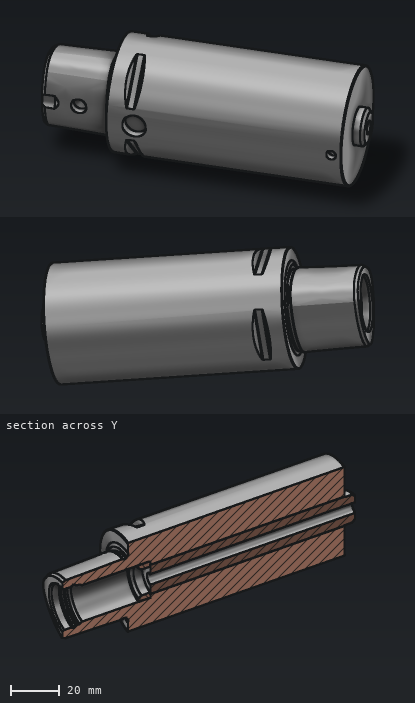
import cadquery as cq
import math


total_length = 134.5
shank_length = 30.0
body_radius = 25.0
body_end_x = 129.8
shank_side_chamfer = 0.3
pin_side_chamfer = 0.4

lobe_center_radius = 8.5
lobe_radius = 10.1
taper_end_x = 27.7
taper_slope = 1 / 40
mouth_chamfer_length = 1.5
mouth_chamfer_height = 0.8
neck_step = 0.34
neck_step_length = 0.4

neck_radius = 17.8
neck_slope_end_x = 29.2
lobe_clearance_radius = 20.2
collar_start_x = 29.5
undercut_bottom_radius = 18.8
undercut_depth = 0.3
undercut_outer_radius = 19.5

mouth_bore_radius = 11.8
entry_bore_radius = 11.3
entry_chamfer = 1.0
groove_start_x = 4.3
groove_radius = 12.1
groove_slope = 0.8
groove_end_x = 6.3
bore_lip_radius = 11.0
lip_start_x = 6.9
lip_end_x = 8.0
bore_cone_end_x = 9.1
bore_radius = 10.1
bore_depth = 40.4

bushing_length = 5.4
bushing_hole_radius = 7.1
bushing_countersink = 1.3

pin_diameter = 16.0
pin_radius = pin_diameter / 2
pin_hole_radius = 2.8
pin_chamfer = 1.5

drill_tip_angle = 118.0
shank_hole_x = 16.0
shank_hole_radius = 3.2
shank_hole_depth = 3.9
shank_surface_y = -16.1
notch_radius = 4.0
notch_length = 5.5
notch_tip_length = 4.6
notch_center_y = -18.2
chip_hole_x = 42.0
chip_hole_radius = 5.0
chip_hole_depth = 4.5
end_hole_x = 125.5
end_hole_radius = 2.0
end_hole_depth = 3.4

slot_center_x = 40.1
slot_floor_distance = 22.2
slot_floor_width = 2.8
slot_bevel_width = 0.4
slot_bevel_height = 0.2
slot_flank_angle = 30.0


def revolve_profile(points):
    """Solid of revolution about X from (x, radius) points."""
    return cq.Workplane("XY").polyline(points).close().revolve(360, (0, 0, 0), (1, 0, 0))


def drill(radius, depth, tip):
    """Drill shape along +Z from the origin, with a conical tip beyond its depth."""
    profile = [(0, 0), (radius, 0), (radius, depth), (0, depth + tip)]
    return cq.Workplane("XZ").polyline(profile).close().revolve(360, (0, 0, 0), (0, 1, 0))


def lobed_outline(x, inset=0.0):
    """Closed three-lobed outline at the given X, one lobe toward +Y."""
    small = lobe_radius - inset
    large = small + lobe_center_radius * math.sqrt(3)

    def arc_point(center_angle, radius, direction):
        center = math.radians(center_angle)
        normal = math.radians(direction)
        return (
            lobe_center_radius * math.cos(center) + radius * math.cos(normal),
            lobe_center_radius * math.sin(center) + radius * math.sin(normal),
        )

    outline = cq.Workplane("YZ", origin=(x, 0, 0)).moveTo(*arc_point(0, small, -30))
    for lobe in (0, 120, 240):
        outline = outline.threePointArc(arc_point(lobe, small, lobe), arc_point(lobe, small, lobe + 30))
        flank = lobe + 60
        opposite_lobe = lobe + 240
        outline = outline.threePointArc(
            arc_point(opposite_lobe, large, flank), arc_point(opposite_lobe, large, flank + 30)
        )
    return outline.close()


def lobed_section(x_start, inset_start, x_end, inset_end):
    """Stretch of the shank between two X positions, with a straight taper between two insets."""
    length = x_end - x_start
    angle = math.degrees(math.atan((inset_end - inset_start) / length))
    return lobed_outline(x_start, inset_start).extrude(length, taper=angle)


def make_shank():
    """Tapered three-lobed shank with a chamfered mouth and a neck beside the body."""
    chamfer_inset = (taper_end_x - mouth_chamfer_length) * taper_slope
    step_end_x = taper_end_x + neck_step_length
    shank = (
        lobed_section(0, chamfer_inset + mouth_chamfer_height, mouth_chamfer_length, chamfer_inset)
        .union(lobed_section(mouth_chamfer_length, chamfer_inset, taper_end_x, 0))
        .union(lobed_section(taper_end_x, 0, step_end_x, neck_step))
        .union(lobed_outline(step_end_x, neck_step).extrude(shank_length - step_end_x))
    )
    lobe_relief = revolve_profile(
        [
            (taper_end_x, lobe_clearance_radius),
            (taper_end_x, lobe_center_radius + lobe_radius),
            (neck_slope_end_x, neck_radius),
            (shank_length, neck_radius),
            (shank_length, lobe_clearance_radius),
        ]
    )
    return shank.cut(lobe_relief)


def make_body():
    """Body cylinder with chamfered ends, and a collar and round undercut on its shank-side face."""
    return (
        cq.Workplane("XY")
        .moveTo(collar_start_x, 0)
        .lineTo(collar_start_x, neck_radius)
        .threePointArc(
            (shank_length + undercut_depth, undercut_bottom_radius), (shank_length, undercut_outer_radius)
        )
        .lineTo(shank_length, body_radius - shank_side_chamfer)
        .lineTo(shank_length + shank_side_chamfer, body_radius)
        .lineTo(body_end_x - pin_side_chamfer, body_radius)
        .lineTo(body_end_x, body_radius - pin_side_chamfer)
        .lineTo(body_end_x, 0)
        .close()
        .revolve(360, (0, 0, 0), (1, 0, 0))
    )


def make_bore():
    """Stepped bore for the shank mouth, the bushing and the pin, as a cutter."""
    return revolve_profile(
        [
            (0, 0),
            (0, mouth_bore_radius),
            (entry_chamfer, entry_bore_radius),
            (groove_start_x, entry_bore_radius),
            (groove_start_x + groove_slope, groove_radius),
            (groove_end_x - groove_slope, groove_radius),
            (groove_end_x, entry_bore_radius),
            (lip_start_x, bore_lip_radius),
            (lip_end_x, bore_lip_radius),
            (bore_cone_end_x, bore_radius),
            (bore_depth, bore_radius),
            (bore_depth, pin_radius),
            (body_end_x, pin_radius),
            (body_end_x, 0),
        ]
    )


def make_slot():
    """Cutter with sloping flanks and bevelled floor edges for a slot on the +Z side of the body."""
    half_floor = slot_floor_width / 2
    flank_base = slot_floor_distance + slot_bevel_height
    half_base = half_floor + slot_bevel_width
    half_top = half_base + (body_radius - flank_base) * math.tan(math.radians(slot_flank_angle))
    return (
        cq.Workplane("XZ")
        .polyline(
            [
                (slot_center_x - half_floor, slot_floor_distance),
                (slot_center_x + half_floor, slot_floor_distance),
                (slot_center_x + half_base, flank_base),
                (slot_center_x + half_top, body_radius),
                (slot_center_x - half_top, body_radius),
                (slot_center_x - half_base, flank_base),
            ]
        )
        .close()
        .extrude(body_radius, both=True)
    )


def side_drill(x, surface_y, radius, depth):
    """Drill pointing toward +Y, starting at the body radius and reaching depth below surface_y."""
    reach = depth + body_radius + surface_y
    tip = radius / math.tan(math.radians(drill_tip_angle / 2))
    return drill(radius, reach, tip).rotate((0, 0, 0), (1, 0, 0), -90).translate((x, -body_radius, 0))


def make_housing():
    housing = make_body().union(make_shank()).cut(make_bore())
    for angle in (45, 135, 225, 315):
        housing = housing.cut(make_slot().rotate((0, 0, 0), (1, 0, 0), angle))
    notch = drill(notch_radius, notch_length, notch_tip_length).rotate((0, 0, 0), (0, 1, 0), 90)
    chip_hole = (
        cq.Workplane("XZ", origin=(chip_hole_x, chip_hole_depth - body_radius, 0))
        .circle(chip_hole_radius)
        .extrude(body_radius)
    )
    return (
        housing.cut(notch.translate((0, notch_center_y, 0)))
        .cut(side_drill(shank_hole_x, shank_surface_y, shank_hole_radius, shank_hole_depth))
        .cut(side_drill(end_hole_x, -body_radius, end_hole_radius, end_hole_depth))
        .cut(chip_hole)
    )


def make_bushing():
    start_x = bore_depth - bushing_length
    return revolve_profile(
        [
            (start_x, bore_radius),
            (start_x, bushing_hole_radius + bushing_countersink),
            (start_x + bushing_countersink, bushing_hole_radius),
            (bore_depth, bushing_hole_radius),
            (bore_depth, bore_radius),
        ]
    )


def make_pin():
    return revolve_profile(
        [
            (bore_depth, pin_hole_radius),
            (bore_depth, pin_radius),
            (total_length - pin_chamfer, pin_radius),
            (total_length, pin_radius - pin_chamfer),
            (total_length, pin_hole_radius),
        ]
    )


housing = make_housing()
bushing = make_bushing()
pin = make_pin()
result = cq.Compound.makeCompound([housing.val(), bushing.val(), pin.val()])